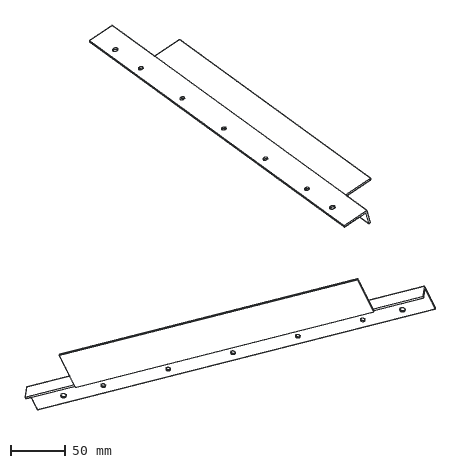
import cadquery as cq
import math

length = 399.2
lower_length = 299.5
thickness = 2.0
upper_width = 27.0
web_height = 17.5
tilt = 15.0
total_depth = 67.5

tilt_radians = math.radians(tilt)
flange_span = (total_depth - web_height * math.sin(tilt_radians)) / math.cos(tilt_radians)
lower_width = flange_span - upper_width + thickness

hole_inset = 8.5
inner_hole_diameter = 4.5
outer_hole_diameter = 5.0
inner_hole_positions = (-130.0, -65.0, 0, 65.0, 130.0)
outer_hole_positions = (-170.0, 170.0)


def plate(x_size, y_min, y_max, z_min, z_max):
    """Flat plate centred on X, before tilting."""
    return (
        cq.Workplane("XY")
        .box(x_size, y_max - y_min, z_max - z_min, centered=(True, False, False))
        .translate((0, y_min, z_min))
    )


def flange_holes(positions, diameter):
    """Cutters through the upper flange, square to its surface."""
    hole_y = -upper_width + hole_inset
    return (
        cq.Workplane("XY")
        .pushPoints([(x, hole_y) for x in positions])
        .circle(diameter / 2)
        .extrude(-thickness)
    )


upper_flange = plate(length, -upper_width, 0, -thickness, 0)
web = plate(length, -thickness, 0, -web_height + thickness, 0)
lower_flange = plate(
    lower_length, -thickness, lower_width - thickness, -web_height, -web_height + thickness
)

bracket = upper_flange.union(web).union(lower_flange)
bracket = bracket.cut(flange_holes(inner_hole_positions, inner_hole_diameter))
bracket = bracket.cut(flange_holes(outer_hole_positions, outer_hole_diameter))

result = bracket.rotate((0, 0, 0), (1, 0, 0), tilt)